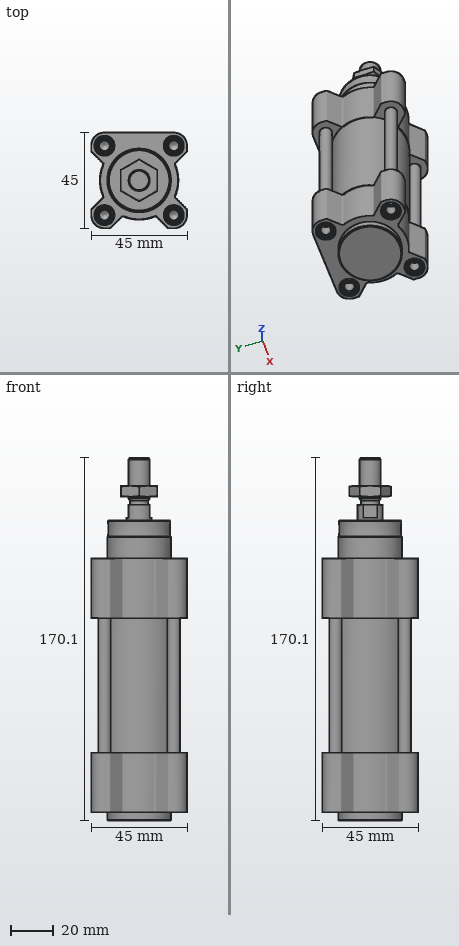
import cadquery as cq
import math

overall_height = 170.1

cap_width = 45.0
cap_height = 28.0
cap_round = 6.25
core_diameter = 36.4
screw_pitch = 32.5
arm_offset = 8.9
arm_edge_radius = 0.7
root_radius = 1.0

tube_diameter = 37.0
tie_rod_diameter = 6.0
collar_diameter = 30.0
rear_collar_height = 4.0
rear_collar_chamfer = 0.5
cap_span = 119.0
front_collar_height = 10.3
front_collar_chamfer = 0.3
nose_height = 7.7
nose_diameter = 29.4
nose_waist_diameter = 29.0
nose_chamfer = 0.6

recess_diameter = 9.0
recess_depth = 1.5
recess_chamfer = 0.25
head_diameter = 8.2
head_depth = 0.4
head_chamfer = 0.6
socket_mouth_diameter = 6.0
socket_diameter = 4.92
socket_depth = 8.0
drill_point_angle = 118.0

rod_diameter = 12.0
rod_flats = 10.0
rod_flat_length = 6.0
thread_diameter = 10.0
thread_length = 22.0
thread_chamfer = 0.5
thread_chamfer_length = 0.9
undercut_diameter = 8.65
undercut_length = 2.0
undercut_taper_length = 1.1
undercut_fillet = 0.6

nut_flats = 17.0
nut_height = 5.0
nut_chamfer_angle = 15.0
nut_top_drop = 13.1

rear_face = rear_collar_height
rear_cap_top = rear_face + cap_height
front_face = rear_face + cap_span
front_cap_bottom = front_face - cap_height
collar_top = front_face + front_collar_height
nose_top = collar_top + nose_height
shoulder = overall_height - thread_length
arm_edge = cap_width / 2 - arm_offset
nut_top = overall_height - nut_top_drop
nut_bottom = nut_top - nut_height

match_tolerance = 0.001

half_pitch = screw_pitch / 2
screw_points = [(x, y) for x in (-half_pitch, half_pitch) for y in (-half_pitch, half_pitch)]


def notch(turn, bottom):
    """Cutter that waists one side of a cap down to the round core, starting from the -Y side."""
    half = cap_width / 2
    core_radius = core_diameter / 2
    root_x = (math.sqrt(2 * core_radius**2 - arm_offset**2) - arm_offset) / 2
    root_y = root_x + arm_offset
    return (
        cq.Workplane("XY", origin=(0, 0, bottom))
        .moveTo(-arm_edge, -half)
        .lineTo(-root_x, -root_y)
        .threePointArc((0, -core_radius), (root_x, -root_y))
        .lineTo(arm_edge, -half)
        .close()
        .extrude(cap_height)
        .edges("|Z and >Y")
        .fillet(root_radius)
        .rotate((0, 0, 0), (0, 0, 1), turn)
    )


def is_arm_edge(edge):
    """True for the sharp vertical edges where an arm flank meets an outer side."""
    centre = edge.Center()
    near, far = sorted((abs(centre.x), abs(centre.y)))
    on_flank = math.isclose(near, arm_edge, abs_tol=match_tolerance)
    on_side = math.isclose(far, cap_width / 2, abs_tol=match_tolerance)
    return on_flank and on_side


def cap(bottom):
    """Square end cap with rounded corners, waisted on every side but +Y."""
    body = (
        cq.Workplane("XY", origin=(0, 0, bottom))
        .rect(cap_width, cap_width)
        .extrude(cap_height)
        .edges("|Z")
        .fillet(cap_round)
    )
    for turn in (-90, 0, 90):
        body = body.cut(notch(turn, bottom))
    return body.edges("|Z").filter(is_arm_edge).fillet(arm_edge_radius)


def screw_recess():
    """Cutter for one screw recess, revolved about Z with its mouth at Z = 0."""
    recess_radius = recess_diameter / 2
    head_radius = head_diameter / 2
    mouth_radius = socket_mouth_diameter / 2
    socket_radius = socket_diameter / 2
    point_depth = socket_radius / math.tan(math.radians(drill_point_angle / 2))
    return (
        cq.Workplane("XZ")
        .polyline([
            (0, 0),
            (recess_radius + recess_chamfer, 0),
            (recess_radius, -recess_chamfer),
            (recess_radius, -recess_depth),
            (head_radius, -recess_depth),
            (head_radius, -head_depth - head_chamfer),
            (head_radius - head_chamfer, -head_depth),
            (mouth_radius, -head_depth),
            (socket_radius, -head_depth - (mouth_radius - socket_radius)),
            (socket_radius, -socket_depth),
            (0, -socket_depth - point_depth),
        ])
        .close()
        .revolve(360, (0, 0, 0), (0, 1, 0))
    )


def cylinder(diameter, bottom, top):
    return cq.Workplane("XY", origin=(0, 0, bottom)).circle(diameter / 2).extrude(top - bottom)


def nose():
    """Slightly waisted ring in front of the collar."""
    edge_radius = nose_diameter / 2
    waist_radius = nose_waist_diameter / 2
    rim = nose_top - nose_chamfer
    return (
        cq.Workplane("XZ")
        .moveTo(0, collar_top)
        .lineTo(edge_radius, collar_top)
        .threePointArc((waist_radius, (collar_top + rim) / 2), (edge_radius, rim))
        .lineTo(edge_radius - nose_chamfer, nose_top)
        .lineTo(0, nose_top)
        .close()
        .revolve(360, (0, 0, 0), (0, 1, 0))
    )


def make_housing():
    body = cylinder(collar_diameter, 0, rear_face).faces("<Z").chamfer(rear_collar_chamfer)
    body = body.union(cap(rear_face))
    body = body.union(cylinder(tube_diameter, rear_cap_top, front_cap_bottom))
    body = body.union(cap(front_cap_bottom))
    front_collar = cylinder(collar_diameter, front_face, collar_top)
    body = body.union(front_collar.faces(">Z").chamfer(front_collar_chamfer))
    body = body.union(nose())
    for x, y in screw_points:
        tie_rod = cylinder(tie_rod_diameter, rear_cap_top, front_cap_bottom)
        body = body.union(tie_rod.translate((x, y, 0)))
        front_recess = screw_recess().translate((x, y, front_face))
        rear_recess = screw_recess().mirror("XY").translate((x, y, rear_face))
        body = body.cut(front_recess).cut(rear_recess)
    return body.cut(cylinder(rod_diameter, front_cap_bottom, nose_top))


def make_rod():
    """Piston rod with wrench flats, thread undercut and threaded end."""
    rod_radius = rod_diameter / 2
    thread_radius = thread_diameter / 2
    undercut_radius = undercut_diameter / 2
    undercut_top = shoulder + undercut_length
    body = (
        cq.Workplane("XZ")
        .moveTo(0, front_cap_bottom)
        .lineTo(rod_radius, front_cap_bottom)
        .lineTo(rod_radius, shoulder)
        .lineTo(undercut_radius + undercut_fillet, shoulder)
        .radiusArc((undercut_radius, shoulder + undercut_fillet), undercut_fillet)
        .lineTo(undercut_radius, undercut_top)
        .lineTo(thread_radius, undercut_top + undercut_taper_length)
        .lineTo(thread_radius, overall_height - thread_chamfer_length)
        .lineTo(thread_radius - thread_chamfer, overall_height)
        .lineTo(0, overall_height)
        .close()
        .revolve(360, (0, 0, 0), (0, 1, 0))
    )
    flat_depth = (rod_diameter - rod_flats) / 2
    flat_centre = (rod_flats + flat_depth) / 2
    for side in (-1, 1):
        flat = cq.Workplane("XY").box(flat_depth, rod_diameter, rod_flat_length)
        body = body.cut(flat.translate((side * flat_centre, 0, shoulder - rod_flat_length / 2)))
    return body


def make_nut():
    """Hexagon nut with its flats facing X and both ends chamfered."""
    corner_radius = nut_flats / math.sqrt(3)
    flat_radius = nut_flats / 2
    drop = (corner_radius - flat_radius) * math.tan(math.radians(nut_chamfer_angle))
    hexagon = (
        cq.Workplane("XY", origin=(0, 0, nut_bottom))
        .polygon(6, 2 * corner_radius)
        .extrude(nut_height)
        .rotate((0, 0, 0), (0, 0, 1), 30)
    )
    envelope = (
        cq.Workplane("XZ")
        .polyline([
            (0, nut_bottom),
            (flat_radius, nut_bottom),
            (corner_radius, nut_bottom + drop),
            (corner_radius, nut_top - drop),
            (flat_radius, nut_top),
            (0, nut_top),
        ])
        .close()
        .revolve(360, (0, 0, 0), (0, 1, 0))
    )
    return hexagon.intersect(envelope).cut(cylinder(thread_diameter, nut_bottom, nut_top))


housing = make_housing()
rod = make_rod()
nut = make_nut()
result = cq.Compound.makeCompound([housing.val(), rod.val(), nut.val()])